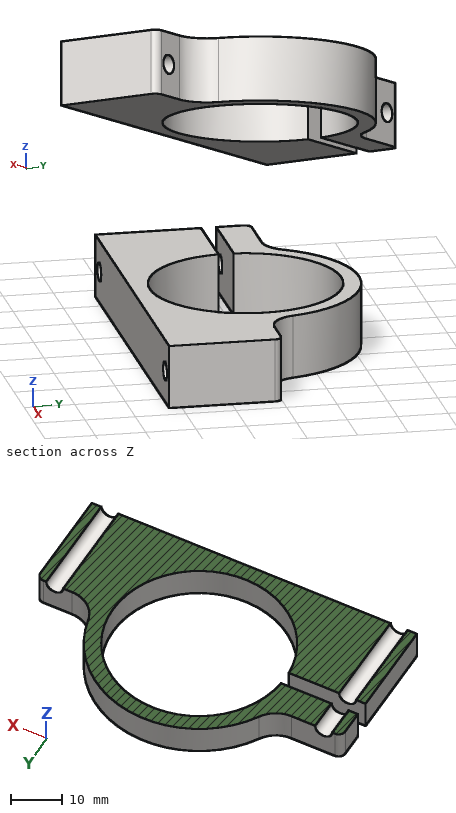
import cadquery as cq
import math

length = 72.0
thickness = 12.7
bore_diameter = 38.0
ring_wall = 3.5
slit_width = 3.0
clamp_ear_top = 8.25
shoulder_top = 0.0
corner_radius = 1.5
blend_radius = 6.35
screw_diameter = 3.7
screw_inset = 4.0

bore_radius = bore_diameter / 2
ring_radius = bore_radius + ring_wall
base_y = -ring_radius
half_length = length / 2
screw_x = half_length - screw_inset


def block(x_min, x_max, y_min, y_max):
    """Full-thickness block, centred on Z = 0."""
    return (
        cq.Workplane("XY")
        .box(x_max - x_min, y_max - y_min, thickness, centered=(False, False, True))
        .translate((x_min, y_min, 0))
    )


def upright_edge(x, y):
    """Selector for the vertical edge closest to the point (x, y)."""
    return cq.selectors.NearestToPointSelector((x, y, 0))


def make_body():
    """Ring merged with the clamping side (-X) and the fixed shoulder (+X)."""
    ring = cq.Workplane("XY").circle(ring_radius).extrude(thickness / 2, both=True)
    clamp_side = block(-half_length, 0, base_y, clamp_ear_top)
    fixed_side = block(0, half_length, base_y, shoulder_top)
    return ring.union(clamp_side).union(fixed_side)


def round_shoulder(body, side, top_y):
    """Blend a shoulder into the ring and round its outer corner; side is -1 or +1."""
    junction_x = side * math.sqrt(ring_radius**2 - top_y**2)
    body = body.edges("|Z").edges(upright_edge(junction_x, top_y)).fillet(blend_radius)
    return body.edges("|Z").edges(upright_edge(side * half_length, top_y)).fillet(corner_radius)


def cut_bore(body):
    """Clamping bore, turned so that its seam lies within the slit on the -X side."""
    bore = cq.Workplane("XY").circle(bore_radius).extrude(thickness / 2, both=True)
    return body.cut(bore.rotate((0, 0, 0), (0, 0, 1), 180))


def cut_slit(body):
    """Slit from the -X end face into the bore, centred on the bore axis."""
    return body.cut(block(-half_length, 0, -slit_width / 2, slit_width / 2))


def cut_screw_holes(body):
    """Through holes along Y, one near each end."""
    holes = (
        cq.Workplane("XZ")
        .pushPoints([(-screw_x, 0), (screw_x, 0)])
        .circle(screw_diameter / 2)
        .extrude(ring_radius, both=True)
    )
    return body.cut(holes)


result = make_body()
result = round_shoulder(result, -1, clamp_ear_top)
result = round_shoulder(result, 1, shoulder_top)
result = cut_bore(result)
result = cut_slit(result)
result = cut_screw_holes(result)